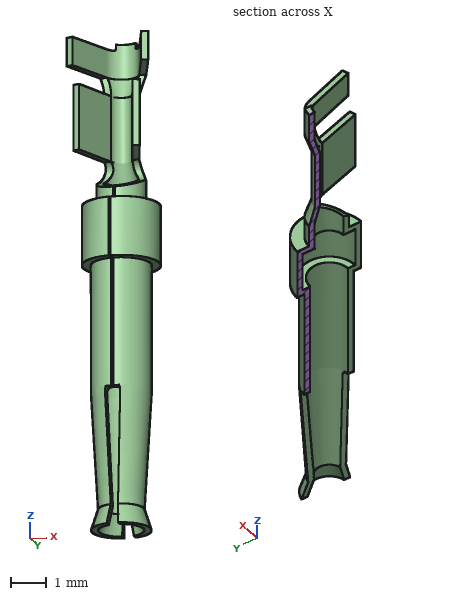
import cadquery as cq
import math

SHEET = 0.2

FLARE_R = 0.851
NECK_R = 0.66
BODY_R = 0.86
COLLAR_R = 1.108
BARREL_R = 0.7
WIRE_R = 0.508

NECK_Z = 0.6
BODY_Z = 4.0
COLLAR_BOTTOM = 7.72
COLLAR_TOP = 9.44
SLOPE_BOTTOM = 9.84
BARREL_TOP = 10.18
WIRE_BOTTOM = 10.78
WIRE_TOP = 12.7
INSULATION_BOTTOM = 13.28
INSULATION_TOP = 14.11
TOP = 14.3

WIRE_SPREAD = 17.8
WIRE_WING = 1.62
INSULATION_SPREAD = 19.5
INSULATION_WING = 1.62

SLOT_TOP_HALF = 0.23
SLOT_NECK_HALF = 0.107
SLOT_BOTTOM_HALF = 0.17
SLOT_CORNER = 0.13

SEAM_WIDTH = 0.06

LOWER_THROAT = (0.23, 10.52)
UPPER_THROAT = (0.15, 12.94)
INSULATION_ROOT = 0.19
WIRE_ROOT = 0.03

TAB_HALF = 0.29
TAB_FILLET = 0.07

MARGIN = 1.43


def make_shell():
    """Tube of constant sheet thickness, from the flare to the insulation crimp."""
    outer = [
        (FLARE_R, 0),
        (NECK_R, NECK_Z),
        (BODY_R, BODY_Z),
        (BODY_R, COLLAR_BOTTOM),
        (COLLAR_R, COLLAR_BOTTOM),
        (COLLAR_R, COLLAR_TOP),
        (BARREL_R, COLLAR_TOP),
        (BARREL_R, BARREL_TOP),
        (WIRE_R, WIRE_BOTTOM),
        (WIRE_R, WIRE_TOP),
        (BARREL_R, INSULATION_BOTTOM),
    ]
    inner = [
        (BARREL_R - SHEET, INSULATION_BOTTOM),
        (WIRE_R - SHEET, WIRE_TOP),
        (WIRE_R - SHEET, WIRE_BOTTOM),
        (BARREL_R - SHEET, BARREL_TOP),
        (BARREL_R - SHEET, COLLAR_TOP - SHEET),
        (COLLAR_R - SHEET, COLLAR_TOP - SHEET),
        (COLLAR_R - SHEET, COLLAR_BOTTOM + SHEET),
        (BODY_R - SHEET, COLLAR_BOTTOM + SHEET),
        (BODY_R - SHEET, BODY_Z),
        (NECK_R - SHEET, NECK_Z),
        (FLARE_R - SHEET, 0),
    ]
    profile = cq.Workplane("XZ").polyline(outer + inner).close()
    return profile.revolve(360, (0, 0, 0), (0, 1, 0))


def make_trough_cutter():
    """Opens the -Y side above the sloped barrel end, with a rounded throat at each crimp."""
    front = -COLLAR_R - MARGIN
    return (
        cq.Workplane("YZ")
        .moveTo(front, SLOPE_BOTTOM)
        .lineTo(-BARREL_R, SLOPE_BOTTOM)
        .lineTo(WIRE_ROOT, BARREL_TOP)
        .threePointArc(LOWER_THROAT, (WIRE_ROOT, WIRE_BOTTOM))
        .lineTo(WIRE_ROOT, WIRE_TOP)
        .threePointArc(UPPER_THROAT, (INSULATION_ROOT, INSULATION_BOTTOM))
        .lineTo(INSULATION_ROOT, TOP)
        .lineTo(front, TOP)
        .close()
        .extrude(COLLAR_R + MARGIN, both=True)
    )


def make_crimp(outer_r, spread, wing, bottom, top):
    """U-shaped crimp: an arc about the axis with a straight tangent wing on each side."""
    cos_a = math.cos(math.radians(spread))
    sin_a = math.sin(math.radians(spread))

    def tangent_and_tip(radius):
        tangent = (radius * cos_a, radius * sin_a)
        tip = (tangent[0] + wing * sin_a, tangent[1] - wing * cos_a)
        return tangent, tip

    def mirrored(point):
        return (-point[0], point[1])

    inner_r = outer_r - SHEET
    outer_tangent, outer_tip = tangent_and_tip(outer_r)
    inner_tangent, inner_tip = tangent_and_tip(inner_r)
    return (
        cq.Workplane("XY", origin=(0, 0, bottom))
        .moveTo(*outer_tip)
        .lineTo(*outer_tangent)
        .threePointArc((0, outer_r), mirrored(outer_tangent))
        .lineTo(*mirrored(outer_tip))
        .lineTo(*mirrored(inner_tip))
        .lineTo(*mirrored(inner_tangent))
        .threePointArc((0, inner_r), inner_tangent)
        .lineTo(*inner_tip)
        .close()
        .extrude(top - bottom)
    )


def make_tab():
    """Short tab on the back wall, with concave fillets at its root."""
    root_half = TAB_HALF + TAB_FILLET
    arc_z = INSULATION_TOP + TAB_FILLET
    arc_drop = TAB_FILLET * math.sqrt(0.5)
    mid_x = root_half - arc_drop
    mid_z = arc_z - arc_drop
    outline = (
        cq.Workplane("XZ")
        .moveTo(-root_half, INSULATION_TOP)
        .threePointArc((-mid_x, mid_z), (-TAB_HALF, arc_z))
        .lineTo(-TAB_HALF, TOP)
        .lineTo(TAB_HALF, TOP)
        .lineTo(TAB_HALF, arc_z)
        .threePointArc((mid_x, mid_z), (root_half, INSULATION_TOP))
        .close()
        .extrude(-COLLAR_R)
    )
    ring = (
        cq.Workplane("XY", origin=(0, 0, INSULATION_TOP))
        .circle(BARREL_R)
        .circle(BARREL_R - SHEET)
        .extrude(TOP - INSULATION_TOP)
    )
    return ring.intersect(outline)


def make_finger_slot():
    """Slot along Y that splits the tapered end into two fingers."""
    side = [
        (SLOT_BOTTOM_HALF, 0),
        (SLOT_NECK_HALF, NECK_Z),
        (SLOT_TOP_HALF, BODY_Z),
    ]
    other_side = [(-x, z) for x, z in reversed(side)]
    return (
        cq.Workplane("XZ")
        .polyline(side + other_side)
        .close()
        .extrude(COLLAR_R, both=True)
        .edges("|Y and >Z")
        .fillet(SLOT_CORNER)
    )


def make_seam():
    """Narrow gap along the -Y side where the rolled sheet edges meet."""
    bottom = BODY_Z - SLOT_CORNER
    size = (SEAM_WIDTH, COLLAR_R + MARGIN, BARREL_TOP - bottom)
    seam = cq.Workplane("XY", origin=(0, 0, bottom))
    return seam.box(*size, centered=(True, False, False)).translate((0, -size[1], 0))


result = (
    make_shell()
    .cut(make_trough_cutter())
    .cut(make_finger_slot())
    .cut(make_seam())
    .union(make_crimp(WIRE_R, WIRE_SPREAD, WIRE_WING, WIRE_BOTTOM, WIRE_TOP))
    .union(
        make_crimp(
            BARREL_R, INSULATION_SPREAD, INSULATION_WING, INSULATION_BOTTOM, INSULATION_TOP
        )
    )
    .union(make_tab())
)